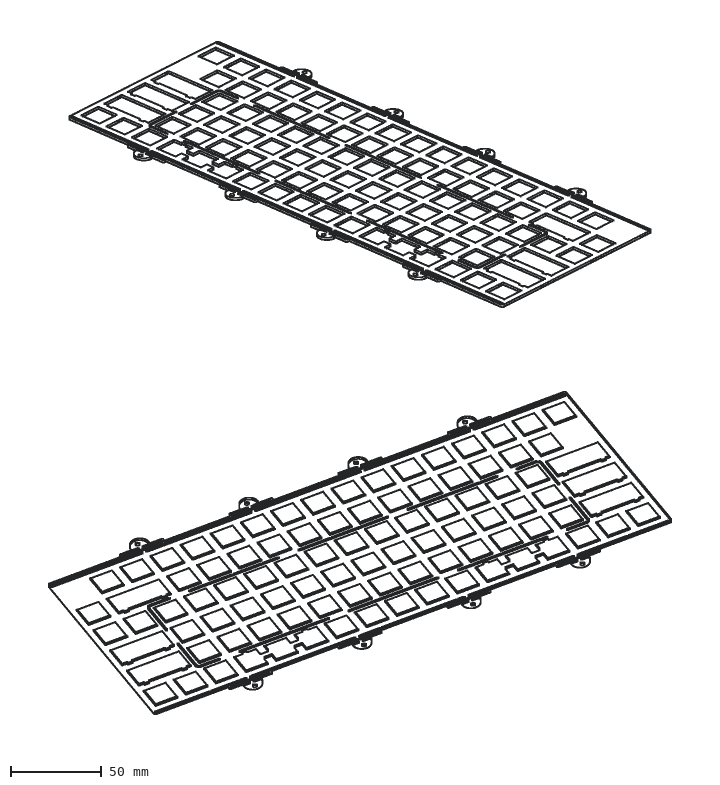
import cadquery as cq

length = 326.8
overall_width = 139.2
thickness = 1.55

columns = 17
rows = 6
margin = 1.47
pitch = (length - 2 * margin) / columns
plate_width = rows * pitch + 2 * margin
opening_border = 2.52
opening = pitch - 2 * opening_border

notch_width = 3.0
notch_depth = 1.0
notch_offset = 11.93
wire_slot_width = 4.2

slit = 1.0
bar = slit
end_wall = slit
plate_corner_radius = 1.0

tab_count = 4
tab_span = 207.0
tab_positions = [(i / (tab_count - 1) - 0.5) * tab_span for i in range(tab_count)]
spring_length = 27.0
spring_corner_radius = 0.5
neck_width = 2 * slit
head_radius = 5.5
head_hole_radius = 1.25
head_hole_height = 3.0

ring_first_column = 2
ring_last_column = 14
ring_first_row = 2
ring_last_row = 4
ring_outer_radius = 2.5
ring_link = 12.0

single_columns = [
    list(range(0, 16)),
    list(range(1, 14)) + [16],
    list(range(2, 17)),
    list(range(2, 15)),
    list(range(2, 15)),
    list(range(0, 17)),
]
double_keys = [(1, 14), (2, 0), (3, 0), (3, 15), (4, 0), (4, 15)]
triple_keys = [(5, 3), (5, 11)]


def column_x(column):
    """X of a column's centre; half numbers lie between columns."""
    return (column - (columns - 1) / 2) * pitch


def row_y(row):
    """Y of a row's centre; half numbers lie between rows."""
    return ((rows - 1) / 2 - row) * pitch


def block(x, y, width, height):
    """Full-thickness block centred on a point in plan."""
    return cq.Workplane("XY").center(x, y).rect(width, height).extrude(thickness)


def discs(centres, radius):
    """Full-thickness discs at points in plan."""
    return cq.Workplane("XY").pushPoints(centres).circle(radius).extrude(thickness)


def round_ended_slit(x0, x1, y):
    """Slit along X between two X values, with half-round ends."""
    return cq.Workplane("XY").center((x0 + x1) / 2, y).slot2D(x1 - x0, slit).extrude(thickness)


def single_openings():
    centres = [
        (column_x(column), row_y(row))
        for row, row_columns in enumerate(single_columns)
        for column in row_columns
    ]
    return cq.Workplane("XY").pushPoints(centres).rect(opening, opening).extrude(thickness)


def double_opening(row, first_column):
    """Opening two keys wide with stabiliser notches in its -Y side."""
    x = column_x(first_column + 0.5)
    y = row_y(row)
    shape = block(x, y, pitch + opening, opening)
    for side in (-1, 1):
        notch_x = x + side * notch_offset
        shape = shape.union(block(notch_x, y - opening / 2, notch_width, 2 * notch_depth))
    return shape


def triple_link(row, first_column):
    """Wire slot joining three openings, with stabiliser notches in the +Y side of the outer two."""
    y = row_y(row)
    shape = block(column_x(first_column + 1), y, 2 * pitch, wire_slot_width)
    for column in (first_column, first_column + 2):
        shape = shape.union(block(column_x(column), y + opening / 2, notch_width, 2 * notch_depth))
    return shape


def slit_ring():
    """Rounded rectangular slit, interrupted at the links, where its ends are half-round."""
    left = column_x(ring_first_column - 0.5)
    right = column_x(ring_last_column + 0.5)
    top = row_y(ring_first_row - 0.5)
    bottom = row_y(ring_last_row + 0.5)
    middle = (top + bottom) / 2

    outer = block(0, middle, right - left + slit, top - bottom + slit)
    outer = outer.edges("|Z").fillet(ring_outer_radius)
    inner = block(0, middle, right - left - slit, top - bottom - slit)
    inner = inner.edges("|Z").fillet(ring_outer_radius - slit)
    ring = outer.cut(inner)

    end_offset = (ring_link + slit) / 2
    for x in tab_positions:
        ring = ring.cut(block(x, middle, 2 * end_offset, plate_width))
    ring = ring.cut(block(0, middle, length, 2 * end_offset))

    end_centres = []
    for side in (-1, 1):
        end_centres += [(x + side * end_offset, y) for x in tab_positions for y in (top, bottom)]
        end_centres += [(x, middle + side * end_offset) for x in (left, right)]
    return ring.union(discs(end_centres, slit / 2))


def mounting_tab(x, edge):
    """Spring bar, neck and round head with a hole, standing on the +Y edge of the edge bar."""
    spring_height = slit + bar
    spring_top = edge + spring_height
    neck_y = spring_top + slit / 2
    head_base = spring_top + slit
    head_y = overall_width / 2 - head_radius

    spring = block(x, edge + spring_height / 2, spring_length, spring_height)
    spring = spring.edges("|Z and >Y").fillet(spring_corner_radius)
    spring = spring.cut(
        round_ended_slit(
            x - spring_length / 2 + end_wall, x + spring_length / 2 - end_wall, edge + slit / 2
        )
    )

    head = discs([(x, head_y)], head_radius)
    head = head.cut(block(x, head_base - head_radius, 2 * head_radius, 2 * head_radius))
    head = head.cut(discs([(x, head_base + head_hole_height)], head_hole_radius))

    neck = block(x, neck_y, neck_width + slit, slit)
    for side in (-1, 1):
        neck = neck.cut(discs([(x + side * (neck_width + slit) / 2, neck_y)], slit / 2))
    return spring.union(neck).union(head)


def edge_slits(y):
    """Row of slits along one long side, leaving a bridge at each tab and a wall at each end."""
    starts = [-length / 2 + end_wall] + [x + neck_width / 2 for x in tab_positions]
    ends = [x - neck_width / 2 for x in tab_positions] + [length / 2 - end_wall]
    slits = round_ended_slit(starts[0], ends[0], y)
    for x0, x1 in zip(starts[1:], ends[1:]):
        slits = slits.union(round_ended_slit(x0, x1, y))
    return slits


edge_y = plate_width / 2 + slit + bar
result = block(0, 0, length, 2 * edge_y).edges("|Z").fillet(plate_corner_radius)
tabs = mounting_tab(tab_positions[0], edge_y)
for tab_x in tab_positions[1:]:
    tabs = tabs.add(mounting_tab(tab_x, edge_y))
tabs = tabs.combine()
result = result.union(tabs).union(tabs.mirror("XZ"))

for side in (-1, 1):
    result = result.cut(edge_slits(side * (plate_width + slit) / 2))
result = result.cut(slit_ring())

result = result.cut(single_openings())
for key_row, key_column in double_keys:
    result = result.cut(double_opening(key_row, key_column))
for key_row, key_column in triple_keys:
    result = result.cut(triple_link(key_row, key_column))